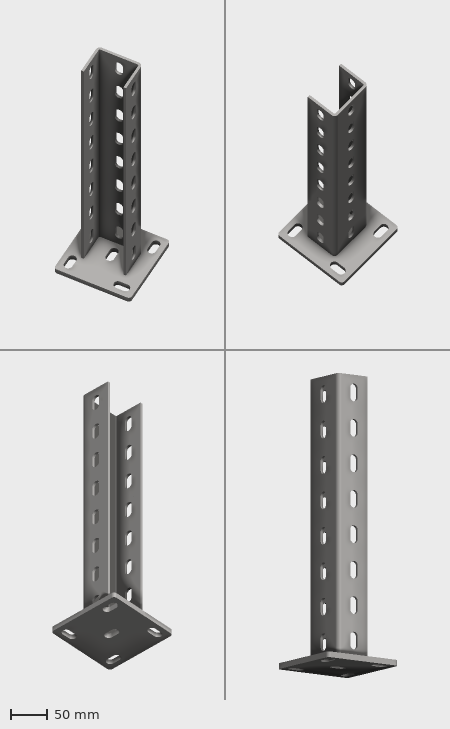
import cadquery as cq

plate_side = 120.0
plate_thickness = 8.0
plate_corner_radius = 5.0

total_height = 408.0
channel_height = total_height - plate_thickness
channel_width = 70.0
channel_depth = 50.0
wall = 4.0
inner_bend_radius = 2.0
outer_bend_radius = inner_bend_radius + wall

slot_length = 25.0
middle_slot_width = 12.5
flange_slot_width = 12.5
flange_slot_y = -2.0
slot_count = 8
slot_pitch = channel_height / slot_count
corner_slot_width = 12.5
corner_slot_margin = 8.5

slot_heights = [plate_thickness + (i + 0.5) * slot_pitch for i in range(slot_count)]


def make_plate():
    """Square plate with rounded corners, a central slot and four corner slots."""
    plate = (
        cq.Workplane("XY")
        .rect(plate_side, plate_side)
        .extrude(plate_thickness)
        .edges("|Z")
        .fillet(plate_corner_radius)
    )
    plate = plate.cut(cq.Workplane("XY").slot2D(slot_length, middle_slot_width, 90).extrude(plate_thickness))

    edge = plate_side / 2 - corner_slot_margin
    corner_slot = (
        cq.Workplane("XY")
        .center(slot_length / 2 - edge, edge - corner_slot_width / 2)
        .slot2D(slot_length, corner_slot_width)
        .extrude(plate_thickness)
    )
    for quarter_turn in range(4):
        plate = plate.cut(corner_slot.rotate((0, 0, 0), (0, 0, 1), 90 * quarter_turn))
    return plate


def make_channel():
    """U-channel with bent corners and a row of upright slots in each wall."""
    outer = (
        cq.Workplane("XY", origin=(0, 0, plate_thickness))
        .rect(channel_width, channel_depth)
        .extrude(channel_height)
        .edges("|Z and >Y")
        .fillet(outer_bend_radius)
    )
    inner = (
        cq.Workplane("XY", origin=(0, -wall, plate_thickness))
        .rect(channel_width - 2 * wall, channel_depth)
        .extrude(channel_height)
        .edges("|Z and >Y")
        .fillet(inner_bend_radius)
    )
    channel = outer.cut(inner)

    web_slots = (
        cq.Workplane("XZ")
        .pushPoints([(0, z) for z in slot_heights])
        .slot2D(slot_length, middle_slot_width, 90)
        .extrude(channel_depth, both=True)
    )
    flange_slots = (
        cq.Workplane("YZ")
        .pushPoints([(flange_slot_y, z) for z in slot_heights])
        .slot2D(slot_length, flange_slot_width, 90)
        .extrude(channel_width, both=True)
    )
    return channel.cut(web_slots).cut(flange_slots)


result = make_plate().union(make_channel())